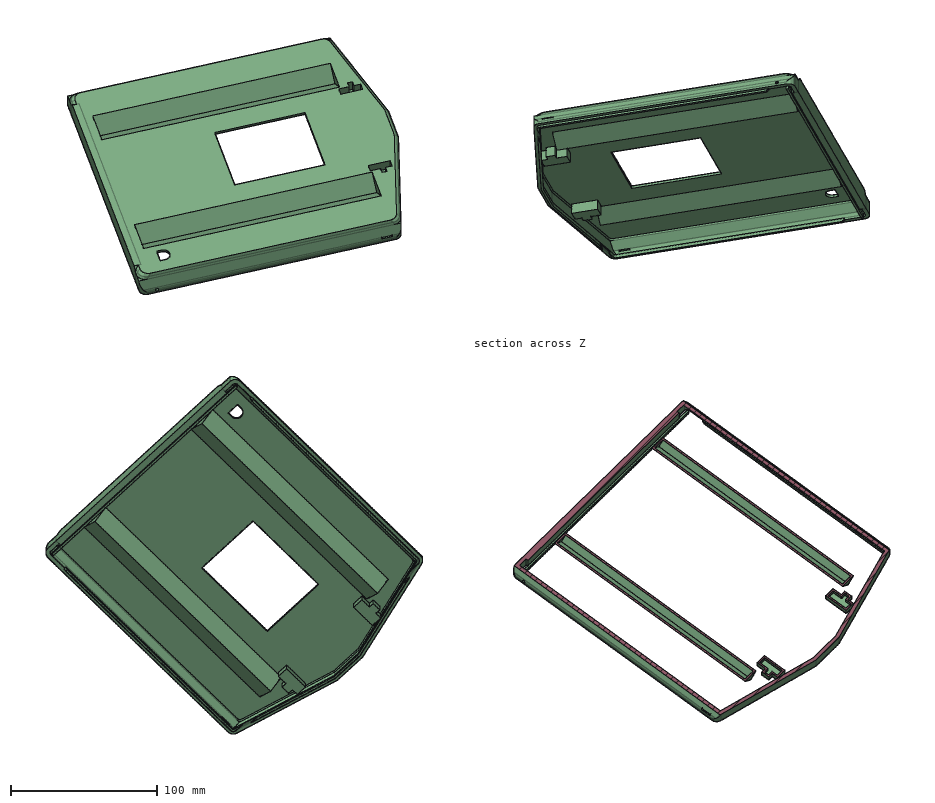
import cadquery as cq
import math

width = 184.0
length = 207.18
height = 14.75
half_width = width / 2

wall = 3.0
top_plate = 2.0
rim_z = 1.6
peak_half_width = 12.1
back_slope = 15.0
corner_radius = 5.0
top_corner_radius = 6.0

side_lean = 36.0
side_break_z = 4.66
side_round_radius = 4.5

bevel_z = 11.6
bevel_half_width = half_width - (bevel_z - side_break_z) * math.tan(math.radians(side_lean))
bevel_sections = [
    (bevel_z, bevel_half_width, 0.0),
    (13.2, 86.2, 1.1),
    (height, 85.0, 3.0),
]

front_plate_half_width = 79.4
front_plate_thickness = 4.8
front_plate_chamfer = 3.9

lip_inset = 2.3
lip_thickness = 1.6
lip_overlap = 1.0
lip_front_start = 18.4
front_lip_y = 4.5
front_lip_half_width = half_width - lip_inset - lip_thickness
back_gap_y = 184.7
back_gap_length = 3.0

groove_x = 51.1
groove_width = 22.4
groove_depth = 9.0
groove_front = 10.7
groove_back = 180.2
pocket_wall = 1.5

slot_x = 36.0
slot_width = 4.9
slot_front = 179.3
slot_back = 194.9
slot_arm_length = 3.6
slot_arm_width = 3.4
slot_arm_y = 188.4
slot_depth = 8.0

window_width = 49.0
window_front = 86.8
window_back = 151.1
port_x = 71.5
port_front = 18.6
port_back = 26.6
port_width = 8.8

pin_hole_diameter = 2.0
pin_hole_y = 11.6
pin_hole_depth = 2.0
pin_hole_z = 4.0
slit_front = 172.1
slit_length = 7.7
slit_height = 0.8
slit_z = 5.4


def box(x0, x1, y0, y1, z0, z1):
    """Block between the given limits."""
    return cq.Workplane("XY").box(x1 - x0, y1 - y0, z1 - z0, centered=False).translate((x0, y0, z0))


def plan(z, half, inset, radius):
    """Rounded outline with a peaked back, as a sketch at height z, drawn in by inset in Y."""
    slope = math.radians(back_slope)
    peak = peak_half_width - inset * math.tan(slope / 2)
    back = length - inset
    shoulder = back - (half - peak) * math.tan(slope)
    outline = (
        cq.Sketch()
        .polygon([
            (-half, inset), (half, inset), (half, shoulder), (peak, back),
            (-peak, back), (-half, shoulder), (-half, inset),
        ])
    )
    corners = outline.vertices("<X or >X").fillet(radius)
    return corners.reset().moved(cq.Location(cq.Vector(0, 0, z)))


def plan_prism(z0, z1, half, inset, radius):
    """Upright prism on the plan outline."""
    return cq.Workplane("XY").placeSketch(plan(z0, half, inset, radius)).extrude(z1 - z0)


def side_profile(offset):
    """Long bar whose cross section gives the walls their vertical, rounded and sloped sides."""
    half = half_width - offset
    lean = math.radians(side_lean)
    tangent = side_round_radius * math.tan(lean / 2)
    slope_start = (half - tangent * math.sin(lean), side_break_z + tangent * math.cos(lean))
    arc_mid = (
        half - side_round_radius * (1 - math.cos(lean / 2)),
        side_break_z - tangent + side_round_radius * math.sin(lean / 2),
    )
    slope_end = (bevel_half_width - offset, bevel_z)
    half_section = (
        cq.Workplane("XZ")
        .lineTo(half, 0)
        .lineTo(half, side_break_z - tangent)
        .threePointArc(arc_mid, slope_start)
        .lineTo(*slope_end)
        .lineTo(0, bevel_z)
        .close()
        .extrude(-length)
    )
    return half_section.union(half_section.mirror("YZ"))


def outer_form(offset, drop):
    """Solid form of the cover, moved in by offset on every side and down by drop at the top."""
    form = plan_prism(rim_z, bevel_z, half_width - offset, offset, corner_radius - offset)
    form = form.intersect(side_profile(offset))
    for low, high in zip(bevel_sections, bevel_sections[1:]):
        radius = top_corner_radius - offset
        layer = cq.Workplane("XY").placeSketch(
            plan(low[0], low[1] - offset, low[2] + offset, radius),
            plan(high[0], high[1] - offset, high[2] + offset, radius),
        ).loft(ruled=True)
        form = form.union(layer)
    return form.intersect(box(-half_width, half_width, 0, length, rim_z, height - drop))


def front_plate():
    """Plate standing flush in the front wall, with its upper corners cut off."""
    plate = box(-front_plate_half_width, front_plate_half_width, 0, front_plate_thickness, rim_z, height)
    return plate.edges("|Y and >Z").chamfer(front_plate_chamfer)


def lip():
    """Low rib under the side and back walls, notched at the rear corners, and its front strip."""
    top = rim_z + lip_overlap
    inner = lip_inset + lip_thickness
    ring = plan_prism(0, top, half_width - lip_inset, lip_inset, corner_radius - lip_inset)
    ring = ring.cut(plan_prism(0, top, half_width - inner, inner, corner_radius - inner))
    front_cut = (
        cq.Workplane("YZ", origin=(-half_width, 0, 0))
        .polyline([(0, 0), (lip_front_start + rim_z, 0), (lip_front_start, rim_z),
                   (lip_front_start, top), (0, top)])
        .close()
        .extrude(width)
    )
    ring = ring.cut(front_cut)
    ring = ring.cut(box(-half_width, half_width, back_gap_y, back_gap_y + back_gap_length, 0, rim_z))
    front = box(-front_lip_half_width, front_lip_half_width,
                front_lip_y, front_lip_y + lip_thickness, 0, top)
    return ring.union(front)


def groove(x, grow):
    """V-shaped bar below the top face; grow thickens it all round."""
    half = groove_width / 2 + grow
    return (
        cq.Workplane("XZ", origin=(x, groove_front - grow, height))
        .polyline([(-half, 0), (half, 0), (0, -groove_depth - grow)])
        .close()
        .extrude(groove_front - groove_back - 2 * grow)
    )


def slot(side, grow):
    """T-shaped block below the top face with its arm pointing outwards; grow thickens it."""
    half = slot_width / 2 + grow
    bottom = height - slot_depth - grow
    stem = box(slot_x - half, slot_x + half, slot_front - grow, slot_back + grow, bottom, height)
    arm_half = slot_arm_width / 2 + grow
    arm = box(slot_x, slot_x + half + slot_arm_length,
              slot_arm_y - arm_half, slot_arm_y + arm_half, bottom, height)
    block = stem.union(arm)
    return block if side > 0 else block.mirror("YZ")


def port():
    """Opening with a straight front edge and a round back."""
    radius = port_width / 2
    return (
        cq.Workplane("XY")
        .moveTo(port_x - radius, port_front)
        .lineTo(port_x + radius, port_front)
        .lineTo(port_x + radius, port_back - radius)
        .threePointArc((port_x, port_back), (port_x - radius, port_back - radius))
        .close()
        .extrude(height)
    )


def side_openings(side):
    """Blind pin hole near the front and narrow slit near the back of one side wall."""
    inside = half_width - 2 * wall
    pin = (
        cq.Workplane("YZ", origin=(half_width - pin_hole_depth, pin_hole_y, pin_hole_z))
        .circle(pin_hole_diameter / 2)
        .extrude(pin_hole_depth)
    )
    slit = box(inside, half_width, slit_front, slit_front + slit_length,
               slit_z - slit_height / 2, slit_z + slit_height / 2)
    openings = pin.union(slit)
    return openings if side > 0 else openings.mirror("YZ")


def build():
    shape = outer_form(0, 0)
    body = shape.cut(outer_form(wall, top_plate))
    body = body.cut(front_plate()).union(front_plate(), clean=False)
    body = body.union(lip(), clean=False)
    under_plate = box(-half_width, half_width, 0, length, 0, height - top_plate / 2)
    for side in (-1, 1):
        housing = groove(side * groove_x, pocket_wall).union(slot(side, pocket_wall))
        body = body.union(housing.intersect(shape).intersect(under_plate), clean=False)
    for side in (-1, 1):
        body = body.cut(groove(side * groove_x, 0), clean=False).cut(slot(side, 0), clean=False)
    window = box(-window_width / 2, window_width / 2, window_front, window_back, 0, height)
    body = body.cut(window, clean=False).cut(port(), clean=False)
    for side in (-1, 1):
        body = body.cut(side_openings(side), clean=False)
    return body


result = cq.Workplane(build().solids().val())